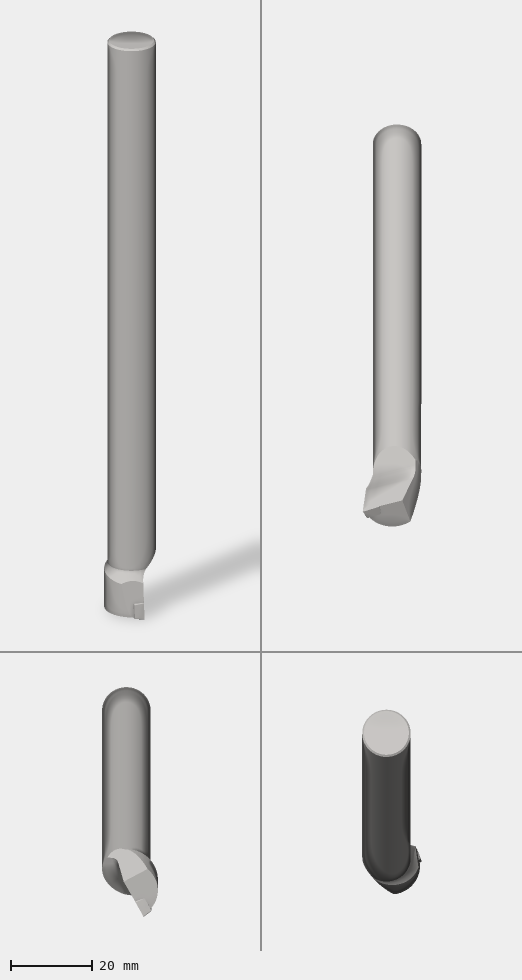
import cadquery as cq
import math

overall_length = 151.2
shank_radius = 12.0 / 2
top_chamfer = 0.5

head_bottom = 0.6
shank_bottom = 13.9
cone_top = 12.1
cone_bottom = 8.0
cone_slope = 1.35
head_radius = 14.4 / 2
head_offset = 1.2

back_top = 14.0
back_foot_x = -1.4
rake_run_out = 15.9
rake_knee = 10.7
rake_blend_radius = 4.0
flank_x = 8.0
flank_height = 9.2
flank_angle = 19.0
cut_size = 18.2

overall_width = 14.8
insert_right = overall_width - shank_radius
insert_edge = 4.4
insert_thickness = 2.4
insert_corner_angle = 80.0
insert_corner_radius = 0.23
insert_clearance = 7.0
edge_lead = (90.0 - insert_corner_angle) / 2


def make_head_blank():
    """Core in line with the shank, widened on the -Y side by an offset cylinder under a cone."""
    core = (
        cq.Workplane("XY").workplane(offset=head_bottom)
        .circle(shank_radius).extrude(shank_bottom - head_bottom)
    )
    cone_radius = shank_radius + (cone_top - cone_bottom) / cone_slope
    cone_envelope = (
        cq.Workplane("XZ")
        .moveTo(0, head_bottom)
        .lineTo(cone_radius, head_bottom)
        .lineTo(cone_radius, cone_bottom)
        .lineTo(shank_radius, cone_top)
        .lineTo(0, cone_top)
        .close()
        .revolve(360, (0, 0, 0), (0, 1, 0))
    )
    offset_cylinder = (
        cq.Workplane("XY", origin=(head_offset, 0, head_bottom))
        .circle(head_radius).extrude(cone_top - head_bottom)
    )
    rear_half = cq.Workplane("XY").box(2 * cut_size, cut_size, 2 * cut_size, centered=(True, False, True))
    return core.union(offset_cylinder.intersect(cone_envelope).cut(rear_half))


def make_back_cut():
    """Wedge behind the plane that slopes from the shank edge to the head bottom."""
    back_steepness = (back_top - head_bottom) / (back_foot_x + shank_radius)
    return (
        cq.Workplane("XZ")
        .moveTo(-cut_size, back_top + (cut_size - shank_radius) * back_steepness)
        .lineTo(back_foot_x + head_bottom / back_steepness, 0)
        .lineTo(-cut_size, 0)
        .close()
        .extrude(cut_size, both=True)
    )


def make_rake_cut():
    """Removes the +Y half of the head: a ramp blended into the flat rake face."""
    ramp_angle = math.atan2(rake_run_out - rake_knee, shank_radius)
    blend_length = rake_blend_radius * math.tan((math.pi / 2 - ramp_angle) / 2)
    blend_end = (blend_length * math.cos(ramp_angle), rake_knee + blend_length * math.sin(ramp_angle))
    ramp_end_z = rake_knee + cut_size * math.tan(ramp_angle)
    return (
        cq.Workplane("YZ")
        .moveTo(0, 0)
        .lineTo(0, rake_knee - blend_length)
        .radiusArc(blend_end, rake_blend_radius)
        .lineTo(cut_size, ramp_end_z)
        .lineTo(cut_size, 0)
        .close()
        .extrude(cut_size, both=True)
    )


def make_flank_cut():
    """Clearance flat beside the insert, parallel to its side edge."""
    return (
        cq.Workplane("XY")
        .box(cut_size, 2 * cut_size, 2 * cut_size, centered=(False, True, True))
        .rotate((0, 0, 0), (0, 0, 1), -flank_angle)
        .rotate((0, 0, 0), (0, 1, 0), -edge_lead)
        .translate((flank_x, 0, flank_height))
    )


def make_insert():
    """Rounded rhombus with clearance all round; its lowest corner touches Z = 0."""
    corner_reach = insert_corner_radius / math.sin(math.radians(insert_corner_angle / 2))
    sharp_shift = corner_reach * math.cos(math.radians(45)) - insert_corner_radius
    tip = (insert_right + sharp_shift, -sharp_shift)
    long_side = insert_edge * math.cos(math.radians(edge_lead))
    short_side = insert_edge * math.sin(math.radians(edge_lead))
    upper = (tip[0] - short_side, tip[1] + long_side)
    left = (tip[0] - long_side, tip[1] + short_side)
    far = (upper[0] - long_side, upper[1] + short_side)
    return (
        cq.Workplane("XZ")
        .polyline([tip, upper, far, left]).close()
        .extrude(insert_thickness, taper=insert_clearance)
        .edges("not #Y").fillet(insert_corner_radius)
    )


def make_bar(insert):
    """Shank and head in one piece, with a pocket that matches the insert."""
    shank = (
        cq.Workplane("XY").workplane(offset=shank_bottom)
        .circle(shank_radius).extrude(overall_length - shank_bottom)
        .faces(">Z").chamfer(top_chamfer)
    )
    bar = shank.union(make_head_blank(), clean=False)
    for cutter in (make_back_cut(), make_flank_cut(), make_rake_cut(), insert):
        bar = bar.cut(cutter, clean=False)
    return bar


cutting_insert = make_insert()
boring_bar = make_bar(cutting_insert)

result = cq.Compound.makeCompound([boring_bar.solids().val(), cutting_insert.val()])